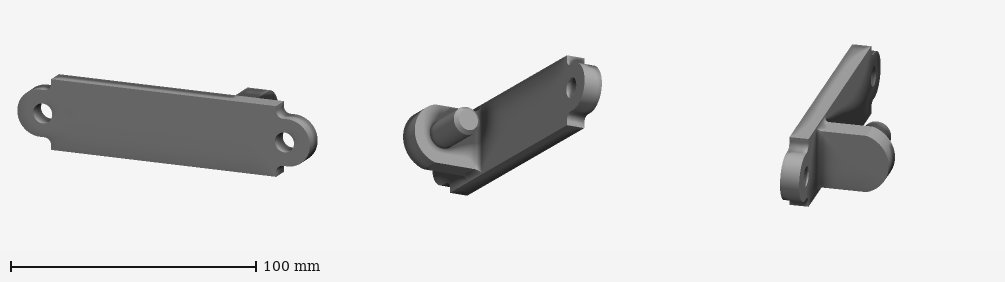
import cadquery as cq
import math

overall_length = 130.0
plate_length = 100.0
plate_height = 30.0
plate_thickness = 8.0
ear_radius = 10.0
ear_fillet = 3.0
hole_diameter = 8.5
hole_spacing = 107.4

overall_depth = 38.0
lug_left = 25.0
lug_thickness = 10.0
lug_height = 25.0
lug_end_radius = 13.0
lug_root_fillet = 2.0

pin_diameter = 12.0
pin_length = 22.0
pin_chamfer = 1.5
pin_center_y = overall_depth - lug_end_radius


def make_plate():
    body = cq.Workplane("XY").box(
        plate_length, plate_thickness, plate_height, centered=(True, False, True)
    )
    ears = (
        cq.Workplane("XZ")
        .slot2D(overall_length, 2 * ear_radius)
        .extrude(-plate_thickness)
    )
    plate = body.union(ears)
    for side in (-1, 1):
        corner_x = side * plate_length / 2
        for end in (-1, 1):
            corner_z = end * ear_radius
            fillet_web = (
                cq.Workplane("XZ")
                .moveTo(corner_x, corner_z)
                .lineTo(corner_x + side * ear_fillet, corner_z)
                .radiusArc((corner_x, corner_z + end * ear_fillet), side * end * ear_fillet)
                .close()
                .extrude(-plate_thickness)
            )
            plate = plate.union(fillet_web)
    holes = (
        cq.Workplane("XZ")
        .pushPoints([(-hole_spacing / 2, 0), (hole_spacing / 2, 0)])
        .circle(hole_diameter / 2)
        .extrude(-plate_thickness)
    )
    return plate.cut(holes)


def make_lug():
    half_height = lug_height / 2
    shoulder_y = pin_center_y + math.sqrt(lug_end_radius**2 - half_height**2)
    return (
        cq.Workplane("YZ", origin=(lug_left, 0, 0))
        .moveTo(0, -half_height)
        .lineTo(shoulder_y, -half_height)
        .threePointArc((overall_depth, 0), (shoulder_y, half_height))
        .lineTo(0, half_height)
        .close()
        .extrude(lug_thickness)
    )


def round_lug_root(body):
    reach = lug_root_fillet / 2
    root_zone = cq.selectors.BoxSelector(
        (lug_left - reach, plate_thickness - reach, -lug_height / 2 - reach),
        (lug_left + lug_thickness + reach, plate_thickness + reach, lug_height / 2 + reach),
    )
    return body.edges(root_zone).fillet(lug_root_fillet)


def make_pin():
    return (
        cq.Workplane("YZ", origin=(lug_left, pin_center_y, 0))
        .circle(pin_diameter / 2)
        .extrude(-pin_length)
        .faces("<X")
        .chamfer(pin_chamfer)
    )


plate_with_lug = round_lug_root(make_plate().union(make_lug()))
result = plate_with_lug.union(make_pin())